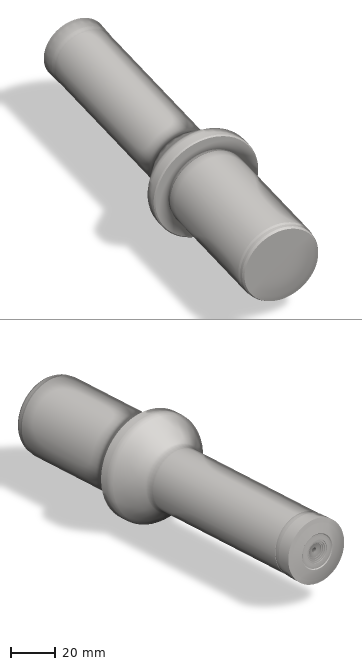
import cadquery as cq
import math


TOTAL_LENGTH = 194.0

HEAD_LENGTH = 10.9
HEAD_TAPER_START = 8.0
HEAD_RADIUS = 16.1
HEAD_TAPER_RADIUS = 16.0
HEAD_REAR_RADIUS = 15.5
FACE_RING_RADIUS = 13.8
FACE_RING_SETBACK = 0.5
FACE_RIM_SETBACK = 0.8
CENTRE_RADIUS = 8.7
CENTRE_DEPTH = 0.4
CENTRE_BEVEL = 0.4
RECESS_STEP_RADII = [5.8, 5.0, 4.3, 3.5]
RECESS_STEP_DEPTH = 0.4
RECESS_CONE_DEPTH = 0.4
CENTRE_HOLE_RADIUS = 1.2
CENTRE_HOLE_DEPTH = 2.0

ARM_RADIUS = 15.7
FLARE_START = 101.9
FLARE_END = 117.4
FLARE_FILLET = 4.9
COLLAR_RADIUS = 27.0
COLLAR_END = 124.0
COLLAR_CHAMFER = 0.5
NECK_RADIUS = 19.5
NECK_LENGTH = 1.4
SHANK_RADIUS = 20.0
SHANK_CHAMFER = 0.5
SHANK_TIP_RADIUS = 19.5
SHANK_TIP_LENGTH = 4.0
SHANK_TIP_RAMP = 1.2
SHANK_TIP_CHAMFER = 1.2
SHANK_TIP_CHAMFER_DROP = 0.5


def revolve_about_x(profile):
    """Turn a closed (axial position, radius) half profile about the X axis."""
    return profile.close().revolve(360, (0, 0, 0), (1, 0, 0))


def make_head():
    """Short head with a slightly domed face and a stepped recess in its centre."""
    step_floor = CENTRE_DEPTH + RECESS_STEP_DEPTH * len(RECESS_STEP_RADII)
    cone_floor = step_floor + RECESS_CONE_DEPTH
    hole_floor = cone_floor + CENTRE_HOLE_DEPTH
    profile = (
        cq.Workplane("XY")
        .moveTo(hole_floor, 0)
        .lineTo(hole_floor, CENTRE_HOLE_RADIUS)
        .lineTo(cone_floor, CENTRE_HOLE_RADIUS)
    )
    for index in reversed(range(len(RECESS_STEP_RADII))):
        radius = RECESS_STEP_RADII[index]
        shelf = CENTRE_DEPTH + index * RECESS_STEP_DEPTH
        profile = (
            profile
            .lineTo(shelf + RECESS_STEP_DEPTH, radius)
            .lineTo(shelf, radius)
        )
    profile = (
        profile
        .lineTo(CENTRE_DEPTH, CENTRE_RADIUS - CENTRE_BEVEL)
        .lineTo(0, CENTRE_RADIUS)
        .lineTo(FACE_RING_SETBACK, FACE_RING_RADIUS)
        .lineTo(FACE_RIM_SETBACK, HEAD_RADIUS)
        .lineTo(HEAD_TAPER_START, HEAD_TAPER_RADIUS)
        .lineTo(HEAD_LENGTH, HEAD_REAR_RADIUS)
        .lineTo(HEAD_LENGTH, 0)
    )
    return revolve_about_x(profile)


def make_holder():
    """Arm, conical flare, collar and cylindrical shank in one piece."""
    flare_angle = math.atan2(COLLAR_RADIUS - ARM_RADIUS, FLARE_END - FLARE_START)
    tangent_length = FLARE_FILLET * math.tan(flare_angle / 2)
    tangent_run = tangent_length * math.cos(flare_angle)
    tangent_rise = tangent_length * math.sin(flare_angle)
    mid_run = FLARE_FILLET * math.sin(flare_angle / 2)
    mid_rise = FLARE_FILLET * (1 - math.cos(flare_angle / 2))
    fillet_start = FLARE_START - tangent_length
    fillet_end = FLARE_END + tangent_length
    neck_end = COLLAR_END + NECK_LENGTH
    tip_start = TOTAL_LENGTH - SHANK_TIP_LENGTH

    profile = (
        cq.Workplane("XY")
        .moveTo(HEAD_LENGTH, 0)
        .lineTo(HEAD_LENGTH, ARM_RADIUS)
        .lineTo(fillet_start, ARM_RADIUS)
        .threePointArc(
            (fillet_start + mid_run, ARM_RADIUS + mid_rise),
            (FLARE_START + tangent_run, ARM_RADIUS + tangent_rise),
        )
        .lineTo(FLARE_END - tangent_run, COLLAR_RADIUS - tangent_rise)
        .threePointArc(
            (fillet_end - mid_run, COLLAR_RADIUS - mid_rise),
            (fillet_end, COLLAR_RADIUS),
        )
        .lineTo(COLLAR_END - COLLAR_CHAMFER, COLLAR_RADIUS)
        .lineTo(COLLAR_END, COLLAR_RADIUS - COLLAR_CHAMFER)
        .lineTo(COLLAR_END, NECK_RADIUS)
        .lineTo(neck_end, NECK_RADIUS)
        .lineTo(neck_end + SHANK_CHAMFER, SHANK_RADIUS)
        .lineTo(tip_start, SHANK_RADIUS)
        .lineTo(tip_start + SHANK_TIP_RAMP, SHANK_TIP_RADIUS)
        .lineTo(TOTAL_LENGTH - SHANK_TIP_CHAMFER, SHANK_TIP_RADIUS)
        .lineTo(TOTAL_LENGTH, SHANK_TIP_RADIUS - SHANK_TIP_CHAMFER_DROP)
        .lineTo(TOTAL_LENGTH, 0)
    )
    return revolve_about_x(profile)


head = make_head()
holder = make_holder()

result = cq.Compound.makeCompound([head.val(), holder.val()])